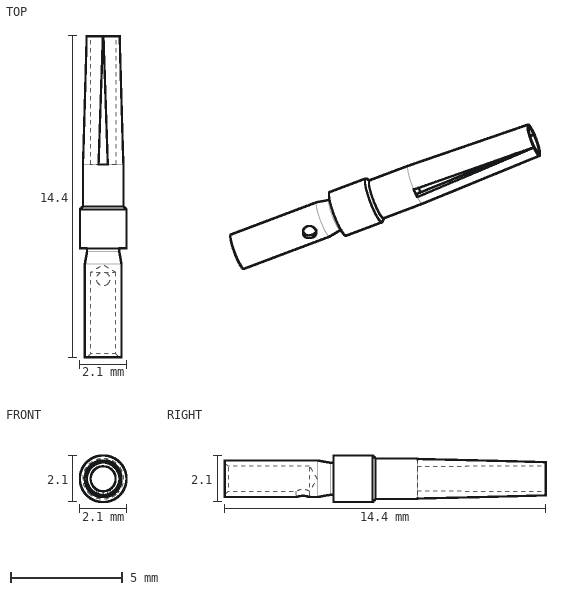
import cadquery as cq
import math

length = 14.4
barrel_end = 4.18
neck_start = 4.74
collar_start = 4.88
collar_end = 6.77
tine_start = 8.65

barrel_diameter = 1.65
neck_diameter = 1.45
collar_diameter = 2.1
body_diameter = 1.83
tip_diameter = 1.5
collar_chamfer = (collar_diameter - body_diameter) / 2

bore_diameter = 1.12
lead_in_diameter = 1.45
lead_in_depth = (lead_in_diameter - bore_diameter) / 2
bore_depth = 3.82
drill_point_angle = 118.0
drill_point_depth = bore_diameter / 2 / math.tan(math.radians(drill_point_angle / 2))

inspection_diameter = 0.6
inspection_station = 3.51

socket_diameter = 1.15
slot_root_width = 0.4
slot_tip_width = 0.01


def revolve_profile(stations):
    """Revolve (diameter, station) pairs into a solid about the Y axis."""
    outline = [(diameter / 2, station) for diameter, station in stations]
    first_station = stations[0][1]
    last_station = stations[-1][1]
    points = [(0, first_station)] + outline + [(0, last_station)]
    return cq.Workplane("XY").polyline(points).close().revolve(360, (0, 0), (0, 1))


def make_body():
    return revolve_profile([
        (barrel_diameter, 0),
        (barrel_diameter, barrel_end),
        (neck_diameter, neck_start),
        (neck_diameter, collar_start),
        (collar_diameter, collar_start),
        (collar_diameter, collar_end - collar_chamfer),
        (body_diameter, collar_end),
        (body_diameter, tine_start),
        (tip_diameter, length),
    ])


def make_wire_bore():
    bore = revolve_profile([
        (lead_in_diameter, 0),
        (bore_diameter, lead_in_depth),
        (bore_diameter, bore_depth),
    ])
    point = (
        cq.Workplane("XY")
        .polyline([(0, bore_depth), (bore_diameter / 2, bore_depth), (0, bore_depth + drill_point_depth)])
        .close()
        .revolve(360, (0, 0), (0, 1))
    )
    return bore.union(point)


def make_inspection_hole():
    return (
        cq.Workplane("XY")
        .center(0, inspection_station)
        .circle(inspection_diameter / 2)
        .extrude(-barrel_diameter)
    )


def make_socket():
    return revolve_profile([(socket_diameter, tine_start), (socket_diameter, length)])


def make_slot():
    return (
        cq.Workplane("XY")
        .polyline([
            (-slot_root_width / 2, tine_start),
            (slot_root_width / 2, tine_start),
            (slot_tip_width / 2, length),
            (-slot_tip_width / 2, length),
        ])
        .close()
        .extrude(body_diameter, both=True)
    )


result = (
    make_body()
    .cut(make_wire_bore())
    .cut(make_inspection_hole())
    .cut(make_socket())
    .cut(make_slot())
)